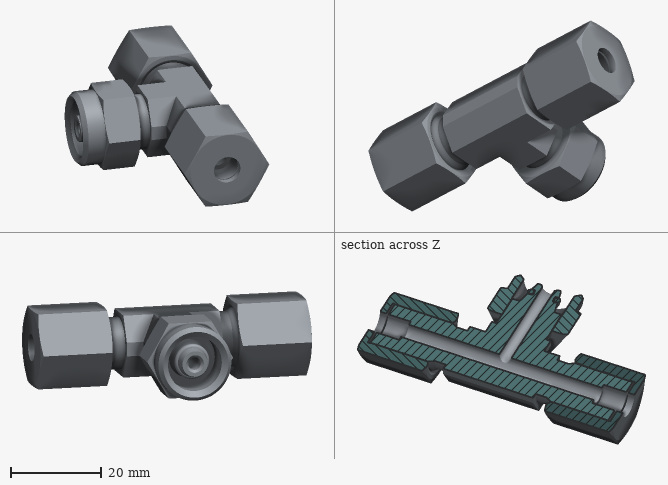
import cadquery as cq
import math

overall_length = 62.0
branch_reach = 26.4

block_across_flats = 14.0
block_half_width = 7.2
arm_block_length = 21.95
branch_block_end = 10.6

relief_diameter = 11.65
thread_diameter = 13.25
relief_end = 13.6
relief_angle = 30.0
arm_bore_diameter = 4.0
socket_floor = 23.55

stem_diameter = 12.3
nose_tip_diameter = 5.75
nose_base_diameter = 8.55
nose_half_angle = 12.0
nose_end = 25.6
groove_front = 23.4
branch_bore_diameter = 2.85
bore_mouth_diameter = 3.95
bore_mouth_depth = 0.55

ring_section_diameter = 1.5
ring_outer_diameter = 7.95

nut_across_flats = 17.0
nut_face_diameter = 16.75
nut_chamfer_angle = 15.0
arm_nut_length = 16.5
arm_nut_wall = 1.55
end_gap = 0.45
tube_hole_diameter = 6.1
arm_nut_mouth_diameter = 14.75
arm_nut_mouth_angle = 60.0
branch_hex_start = 13.45
branch_hex_end = 21.45
collar_diameter = 16.7
collar_chamfer_length = 1.0
rim_diameter = 14.9
rim_countersink_depth = 1.0

half_length = overall_length / 2
arm_nut_inner_end = half_length - arm_nut_length
arm_nut_wall_start = half_length - arm_nut_wall
arm_stem_end = arm_nut_wall_start - end_gap
relief_runout = (thread_diameter - relief_diameter) / 2 / math.tan(math.radians(relief_angle))
nose_slope = math.tan(math.radians(nose_half_angle))
stem_end = nose_end - (nose_base_diameter - nose_tip_diameter) / 2 / nose_slope
groove_back = groove_front - ring_section_diameter
ring_centre = (groove_front + groove_back) / 2
ring_centre_radius = (ring_outer_diameter - ring_section_diameter) / 2
groove_floor_radius = ring_centre_radius - ring_section_diameter / 2


def along_arm(start):
    """Plane whose normal is +X, at X = start."""
    return cq.Workplane("YZ", origin=(start, 0, 0))


def along_branch(start):
    """Plane whose normal is -Y, at Y = -start."""
    return cq.Workplane("XZ", origin=(0, -start, 0))


def revolve_about_arm(points):
    """Turn (distance along X, radius) points about the X axis."""
    return cq.Workplane("XY").polyline(points).close().revolve(360, (0, 0, 0), (1, 0, 0))


def revolve_about_branch(points):
    """Turn (distance towards -Y, radius) points about the Y axis."""
    outline = [(radius, -distance) for distance, radius in points]
    return cq.Workplane("XY").polyline(outline).close().revolve(360, (0, 0, 0), (0, 1, 0))


def block_bar(plane, length):
    """Hexagonal bar, flat on top and bottom, with its two side edges cut to upright flats."""
    half_height = block_across_flats / 2
    slope = math.tan(math.radians(60))
    top_half_width = half_height / slope
    side_half_height = half_height - (block_half_width - top_half_width) * slope
    quarter = [(block_half_width, side_half_height), (top_half_width, half_height)]
    upper = quarter + [(-x, z) for x, z in reversed(quarter)]
    lower = [(-x, -z) for x, z in upper]
    return plane.polyline(upper + lower).close().extrude(length)


def chamfered_end_profile(start, end):
    """(distance, radius) outline that trims the corners at both ends of a hexagonal nut."""
    face_radius = nut_face_diameter / 2
    corner_radius = nut_across_flats / math.sqrt(3)
    setback = (corner_radius - face_radius) * math.tan(math.radians(nut_chamfer_angle))
    return [
        (start, 0),
        (start, face_radius),
        (start + setback, corner_radius),
        (end - setback, corner_radius),
        (end, face_radius),
        (end, 0),
    ]


def arm_stem(end):
    """Relief groove and thread of the +X arm, with the thread running up to the given end."""
    return revolve_about_arm([
        (0, 0),
        (0, relief_diameter / 2),
        (relief_end, relief_diameter / 2),
        (relief_end + relief_runout, thread_diameter / 2),
        (end, thread_diameter / 2),
        (end, 0),
    ])


def tube_socket():
    """Counterbore that takes the tube in the end of the +X arm."""
    return along_arm(socket_floor).circle(tube_hole_diameter / 2).extrude(arm_stem_end - socket_floor)


def nose_radius(distance):
    """Radius of the conical nose at a distance from the centre of the tee."""
    return nose_tip_diameter / 2 + (nose_end - distance) * nose_slope


def branch_stem():
    """Stem and conical nose of the branch, with the groove for the sealing ring."""
    return revolve_about_branch([
        (0, 0),
        (0, stem_diameter / 2),
        (stem_end, stem_diameter / 2),
        (stem_end, nose_base_diameter / 2),
        (groove_back, nose_radius(groove_back)),
        (groove_back, groove_floor_radius),
        (groove_front, groove_floor_radius),
        (groove_front, nose_radius(groove_front)),
        (nose_end, nose_tip_diameter / 2),
        (nose_end, 0),
    ])


def branch_bore():
    """Branch bore with its tapered mouth."""
    return revolve_about_branch([
        (0, 0),
        (0, branch_bore_diameter / 2),
        (nose_end - bore_mouth_depth, branch_bore_diameter / 2),
        (nose_end, bore_mouth_diameter / 2),
        (nose_end, 0),
    ])


def make_tee():
    tee = block_bar(along_arm(-arm_block_length / 2), arm_block_length)
    tee = tee.union(block_bar(along_branch(0), branch_block_end))
    arm = arm_stem(arm_stem_end).cut(tube_socket())
    tee = tee.union(arm).union(arm.mirror("YZ")).union(branch_stem())
    arm_bore = along_arm(-half_length).circle(arm_bore_diameter / 2).extrude(overall_length)
    return tee.cut(arm_bore).cut(branch_bore())


def arm_nut_mouth():
    """Countersink that opens the thread of the +X arm nut towards the tee."""
    mouth_radius = arm_nut_mouth_diameter / 2
    depth = mouth_radius / math.tan(math.radians(arm_nut_mouth_angle))
    return revolve_about_arm([
        (arm_nut_inner_end, 0),
        (arm_nut_inner_end, mouth_radius),
        (arm_nut_inner_end + depth, 0),
    ])


def make_arm_nut():
    """Nut of the +X arm: end wall with a tube hole, bore fitted to the thread, countersunk mouth."""
    corner_diameter = 2 * nut_across_flats / math.sqrt(3)
    nut = along_arm(arm_nut_inner_end).polygon(6, corner_diameter).extrude(arm_nut_length)
    nut = nut.intersect(revolve_about_arm(chamfered_end_profile(arm_nut_inner_end, half_length)))
    tube_hole = along_arm(0).circle(tube_hole_diameter / 2).extrude(half_length)
    return nut.cut(tube_hole).cut(arm_stem(arm_nut_wall_start)).cut(arm_nut_mouth())


def make_branch_nut():
    """Hexagonal nut with a round front collar, bored through and countersunk at the rim."""
    corner_diameter = 2 * nut_across_flats / math.sqrt(3)
    hexagon = along_branch(branch_hex_start).polygon(6, corner_diameter)
    hexagon = hexagon.extrude(branch_hex_end - branch_hex_start)
    trim = revolve_about_branch(chamfered_end_profile(branch_hex_start, branch_hex_end))
    collar = revolve_about_branch([
        (branch_hex_start, 0),
        (branch_hex_start, collar_diameter / 2),
        (branch_reach - collar_chamfer_length, collar_diameter / 2),
        (branch_reach, rim_diameter / 2),
        (branch_reach, 0),
    ])
    bore = revolve_about_branch([
        (0, 0),
        (0, stem_diameter / 2),
        (branch_reach - rim_countersink_depth, stem_diameter / 2),
        (branch_reach, rim_diameter / 2),
        (branch_reach, 0),
    ])
    return hexagon.intersect(trim).union(collar).cut(bore)


def make_sealing_ring():
    """Round-section ring that fills the groove of the nose and stands proud of the cone."""
    section = cq.Workplane("XY").center(ring_centre_radius, -ring_centre)
    section = section.circle(ring_section_diameter / 2)
    return section.revolve(360, (-ring_centre_radius, 0, 0), (-ring_centre_radius, 1, 0))


tee = make_tee()
arm_nuts = [make_arm_nut().rotate((0, 0, 0), (0, 0, 1), angle) for angle in (0, 180)]
branch_nut = make_branch_nut()
sealing_ring = make_sealing_ring()

result = cq.Compound.makeCompound([
    tee.val(),
    *[nut.val() for nut in arm_nuts],
    branch_nut.val(),
    sealing_ring.val(),
])